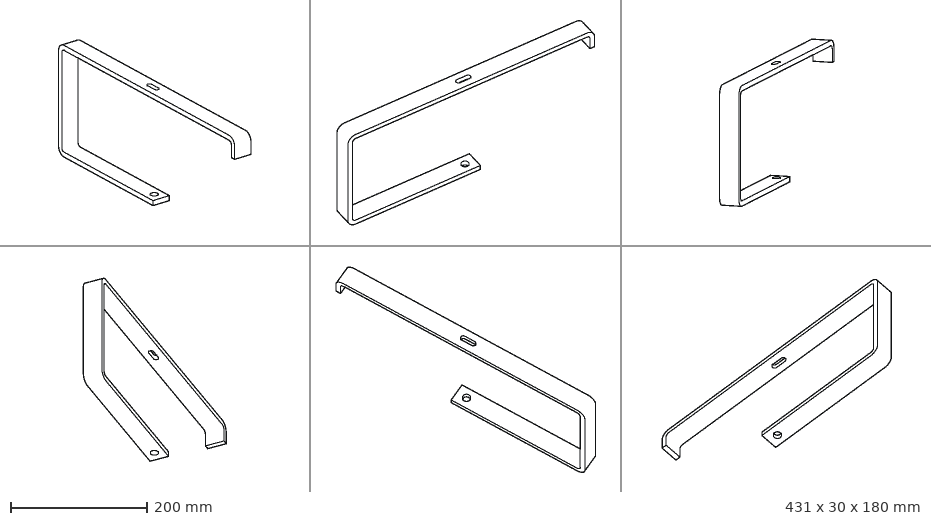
import cadquery as cq

length = 431.0
width = 30.0
height = 180.0
thickness = 8.0
bend_radius = 14.0
inner_radius = bend_radius - thickness

foot_length = 231.5
lip_height = 34.0

slot_length = 25.0
slot_width = 7.8
slot_x = 211.0
hole_diameter = 12.0
hole_x = 214.0


def bent_bar():
    """Strip profile in the XZ plane, extruded across the width."""
    profile = (
        cq.Workplane("XZ")
        .moveTo(0, 0)
        .lineTo(foot_length, 0)
        .lineTo(foot_length, thickness)
        .lineTo(thickness, thickness)
        .lineTo(thickness, height - thickness)
        .lineTo(length - thickness, height - thickness)
        .lineTo(length - thickness, height - lip_height)
        .lineTo(length, height - lip_height)
        .lineTo(length, height)
        .lineTo(0, height)
        .close()
    )
    bar = profile.extrude(width / 2, both=True)

    outer_corners = [(0, 0), (0, height), (length, height)]
    inner_corners = [
        (thickness, thickness),
        (thickness, height - thickness),
        (length - thickness, height - thickness),
    ]
    for corners, radius in ((outer_corners, bend_radius), (inner_corners, inner_radius)):
        for x, z in corners:
            bar = bar.edges(cq.selectors.NearestToPointSelector((x, 0, z))).fillet(radius)
    return bar


def top_slot():
    """Obround cutter through the top leg."""
    return (
        cq.Workplane("XY", origin=(slot_x, 0, height - thickness))
        .slot2D(slot_length, slot_width)
        .extrude(thickness)
    )


def foot_hole():
    """Round cutter through the lower leg."""
    return (
        cq.Workplane("XY", origin=(hole_x, 0, 0))
        .circle(hole_diameter / 2)
        .extrude(thickness)
    )


result = bent_bar().cut(top_slot()).cut(foot_hole())